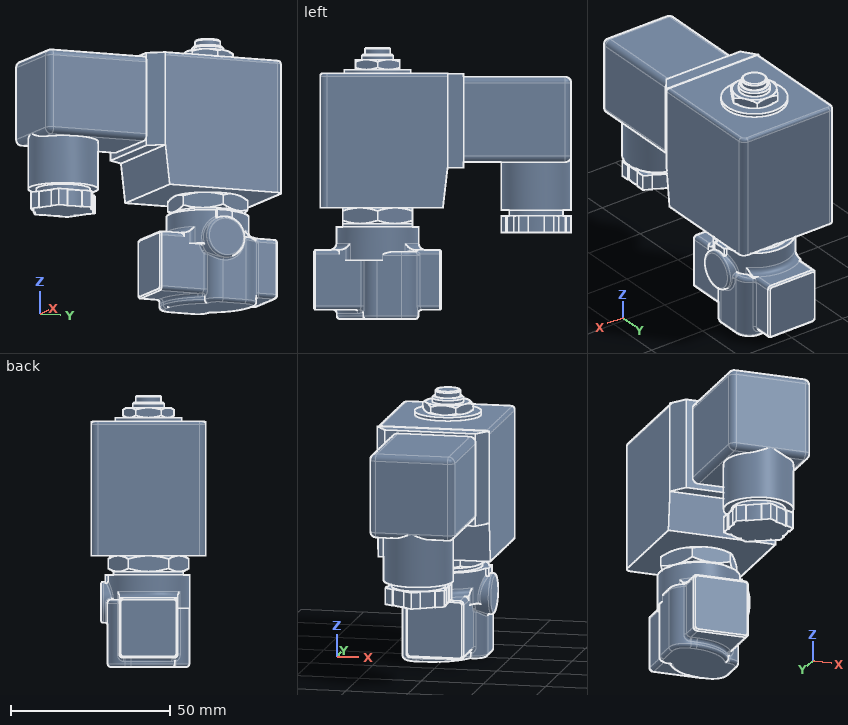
import cadquery as cq
import math


BODY_TOP = 29.0
COLLAR_BOTTOM = 18.45
LOBE_TOP = 21.3
NECK_TOP = 30.1
COIL_BOTTOM = 35.0
COIL_TOP = 77.4
WASHER_TOP = 78.5
NUT_TOP = 81.55
STEM_STEP_TOP = 83.35
STEM_TOP = 85.4

CONTACT_TOLERANCE = 0.001

COLLAR_RADIUS = 13.0
LOBE_REACH = 12.9
LOBE_INNER_Y = 4.5
LOBE_INNER_X = 10.0
LOBE_CORNER = 5.4
LOBE_SHOULDER = 4.3
LOBE_HEEL = 15.55
LOBE_END_FILLET = 1.1
LOBE_ROOT_FILLET = 1.0
PORT_LENGTH_Y = 40.1
PORT_WIDTH = 18.45
PORT_X_RANGE = (-PORT_WIDTH / 2, PORT_WIDTH / 2)
PORT_Y_RANGE = (-PORT_LENGTH_Y / 2, PORT_LENGTH_Y / 2)
PORT_BOTTOM = 2.9
PORT_TOP = 21.8
PORT_EDGE_FILLET = 1.3
PORT_END_CHAMFER = 0.5
SADDLE_FILLET = 2.1
SIDE_BOSS_DIAMETER = 13.0
SIDE_BOSS_REACH = 14.95
SIDE_BOSS_Z = 20.4
SIDE_BOSS_FILLET = 0.7
SIDE_BOSS_ROOT_FILLET = 0.7
PAD_REACH = 13.7
PAD_WIDTH = 5.1

NECK_DIAMETER = 22.0
BODY_NUT_FLATS = 22.0
TOP_NUT_FLATS = 14.0
NUT_CHAMFER_ANGLE = 30.0
WASHER_DIAMETER = 21.0
STEM_STEP_DIAMETER = 10.0
STEM_STEP_CHAMFER = 0.6
STEM_DIAMETER = 8.0
STEM_CHAMFER = 0.4

COIL_WIDTH = 36.0
COIL_BACK_Y = 18.1
COIL_FRONT_Y = -22.0
COIL_FOOT_Y = -20.6
COIL_CORNER_FILLET = 2.05
COIL_TOP_FILLET = 1.0
PLATE_FRONT_Y = -27.1
PLATE_FRONT_WIDTH = 29.0
PLATE_TOP = 77.2
PLATE_BOTTOM = 47.6

PLUG_X = 1.2
PLUG_WIDTH = 27.1
PLUG_FRONT_Y = -60.9
PLUG_BOTTOM = 49.4
PLUG_TOP = 76.3
PLUG_FILLET = 2.0
GLAND_DIAMETER = 22.0
GLAND_Y = PLUG_FRONT_Y + GLAND_DIAMETER / 2
GLAND_BOTTOM = 34.25
GLAND_NECK_DIAMETER = 17.0
GLAND_NUT_TOP = 32.45
GLAND_NUT_BOTTOM = 27.2
GRIP_FLOOR_RADIUS = 9.4
GRIP_WIDTH = 4.95


def cylinder(diameter, bottom, top, x=0.0, y=0.0):
    """Upright cylinder between two heights."""
    return cq.Workplane("XY", origin=(x, y, bottom)).circle(diameter / 2).extrude(top - bottom)


def block(x_range, y_range, z_range):
    """Box between the given limits."""
    sizes = [high - low for low, high in (x_range, y_range, z_range)]
    corner = (x_range[0], y_range[0], z_range[0])
    return cq.Workplane("XY", origin=corner).box(*sizes, centered=False)


def hex_nut(flats, bottom, top):
    """Hexagonal nut with two corners on the X axis and both ends turned to a cone."""
    corners = flats / math.cos(math.pi / 6)
    height = top - bottom
    nut = cq.Workplane("XY", origin=(0, 0, bottom)).polygon(6, corners).extrude(height)
    cone_width = (corners - flats) / 2
    cone_height = cone_width * math.tan(math.radians(NUT_CHAMFER_ANGLE))
    envelope = cylinder(corners, bottom, top).faces("<Z or >Z").chamfer(cone_height, cone_width)
    return nut.intersect(envelope)


def body_lobe():
    """Upright lobe reaching to the -X and -Y sides of the valve body, every corner rounded."""
    lobe = block((-LOBE_REACH, LOBE_INNER_X), (-LOBE_REACH, LOBE_INNER_Y), (0, LOBE_TOP))
    lobe = lobe.edges("|Z and <X and <Y").fillet(LOBE_CORNER)
    lobe = lobe.edges("|Z and >Y").edges("<X").fillet(LOBE_SHOULDER)
    lobe = lobe.edges("|Z and >X").edges("<Y").fillet(LOBE_HEEL)
    return lobe.faces("<Z or >Z").edges().fillet(LOBE_END_FILLET)


def touches_surface(edge, part):
    """True where the middle of an edge lies on the outer surface of a part."""
    middle = cq.Vertex.makeVertex(*edge.positionAt(0.5).toTuple())
    return any(face.distance(middle) < CONTACT_TOLERANCE for face in part.faces().vals())


def blend_together(first, second, radius, above=0.0):
    """Join two parts and fillet the line where their surfaces meet, above a height only."""
    joined = first.union(second)
    roots = [
        edge
        for edge in joined.edges().vals()
        if edge.Center().z > above and touches_surface(edge, second) and touches_surface(edge, first)
    ]
    return joined.newObject(roots).fillet(radius)


def collar_with_saddles():
    """Round collar flaring out into the square upper corners of both port arms."""
    collar = cylinder(2 * COLLAR_RADIUS, COLLAR_BOTTOM, BODY_TOP)
    arms = block(PORT_X_RANGE, PORT_Y_RANGE, (COLLAR_BOTTOM, PORT_TOP))
    saddles = blend_together(collar, arms, SADDLE_FILLET, COLLAR_BOTTOM + CONTACT_TOLERANCE)
    saddle_edge = cylinder(2 * (COLLAR_RADIUS + SADDLE_FILLET), COLLAR_BOTTOM, BODY_TOP)
    return saddles.intersect(saddle_edge)


def lobes_with_ports():
    """Two opposite lobes crossed by the straight-through port block."""
    ports = block(PORT_X_RANGE, PORT_Y_RANGE, (PORT_BOTTOM, PORT_TOP))
    ports = ports.edges("|Y").fillet(PORT_EDGE_FILLET)
    ports = ports.faces("<Y or >Y").chamfer(PORT_END_CHAMFER)

    lobe = body_lobe()
    lobes = lobe.union(lobe.rotate((0, 0, 0), (0, 0, 1), 180))
    return blend_together(lobes, ports, LOBE_ROOT_FILLET)


def valve_body():
    """Collar, lobes and ports with a round boss and a small pad on the +X side."""
    body = collar_with_saddles().union(lobes_with_ports())

    boss = cq.Workplane("YZ", origin=(0, 0, SIDE_BOSS_Z)).circle(SIDE_BOSS_DIAMETER / 2)
    boss = boss.extrude(SIDE_BOSS_REACH).faces(">X").edges().fillet(SIDE_BOSS_FILLET)
    body = blend_together(body, boss, SIDE_BOSS_ROOT_FILLET)

    pad = block((0, PAD_REACH), (-PAD_WIDTH / 2, PAD_WIDTH / 2), (SIDE_BOSS_Z, BODY_TOP))
    return body.union(pad)


def coil_housing():
    """Box whose -Y face leans back below the tapered plate that carries the plug."""
    half_width = COIL_WIDTH / 2
    profile = [
        (COIL_BACK_Y, COIL_BOTTOM),
        (COIL_BACK_Y, COIL_TOP),
        (COIL_FRONT_Y, COIL_TOP),
        (COIL_FRONT_Y, PLATE_BOTTOM),
        (COIL_FOOT_Y, COIL_BOTTOM),
    ]
    housing = cq.Workplane("YZ").polyline(profile).close().extrude(half_width, both=True)
    housing = housing.edges("|Z and >Y").fillet(COIL_CORNER_FILLET)
    housing = housing.faces(">Z").edges("not <Y").fillet(COIL_TOP_FILLET)

    plate_outline = [
        (-half_width, COIL_FRONT_Y),
        (-PLATE_FRONT_WIDTH / 2, PLATE_FRONT_Y),
        (PLATE_FRONT_WIDTH / 2, PLATE_FRONT_Y),
        (half_width, COIL_FRONT_Y),
    ]
    plate = cq.Workplane("XY", origin=(0, 0, PLATE_BOTTOM)).polyline(plate_outline).close()
    return housing.union(plate.extrude(PLATE_TOP - PLATE_BOTTOM))


def plug_connector():
    """Rounded plug housing on the tapered plate."""
    x_range = (PLUG_X - PLUG_WIDTH / 2, PLUG_X + PLUG_WIDTH / 2)
    plug = block(x_range, (PLUG_FRONT_Y, PLATE_FRONT_Y), (PLUG_BOTTOM, PLUG_TOP))
    return plug.edges("|Y or <Y").fillet(PLUG_FILLET)


def gland_nut():
    """Hexagonal gland nut with a shallow grip groove in each side."""
    height = GLAND_NUT_TOP - GLAND_NUT_BOTTOM
    base = cq.Workplane("XY", origin=(0, 0, GLAND_NUT_BOTTOM))
    nut = base.polygon(6, GLAND_DIAMETER).extrude(height).rotate((0, 0, 0), (0, 0, 1), 90)
    core = base.circle(GRIP_FLOOR_RADIUS).extrude(height)
    slots = base.polarArray(GLAND_DIAMETER / 2, 0, 360, 6).rect(GLAND_DIAMETER, GRIP_WIDTH)
    grooves = slots.extrude(height).cut(core)
    return nut.cut(grooves).translate((PLUG_X, GLAND_Y, 0))


def cable_gland():
    """Round gland under the plug, ending in its nut."""
    sleeve = cylinder(GLAND_DIAMETER, GLAND_BOTTOM, PLUG_BOTTOM + PLUG_FILLET, PLUG_X, GLAND_Y)
    neck = cylinder(GLAND_NECK_DIAMETER, GLAND_NUT_TOP, GLAND_BOTTOM, PLUG_X, GLAND_Y)
    return sleeve.union(neck).union(gland_nut())


def stem_end():
    """Washer, nut and stepped stem end above the coil."""
    washer = cylinder(WASHER_DIAMETER, COIL_TOP, WASHER_TOP)
    nut = hex_nut(TOP_NUT_FLATS, WASHER_TOP, NUT_TOP)
    step = cylinder(STEM_STEP_DIAMETER, NUT_TOP, STEM_STEP_TOP).faces(">Z").chamfer(STEM_STEP_CHAMFER)
    tip = cylinder(STEM_DIAMETER, STEM_STEP_TOP, STEM_TOP).faces(">Z").chamfer(STEM_CHAMFER)
    return washer.union(nut).union(step).union(tip)


def body_neck():
    """Round neck and large nut between the valve body and the coil."""
    neck = cylinder(NECK_DIAMETER, BODY_TOP, NECK_TOP)
    return neck.union(hex_nut(BODY_NUT_FLATS, NECK_TOP, COIL_BOTTOM))


result = valve_body()
for piece in (body_neck(), coil_housing(), plug_connector(), cable_gland(), stem_end()):
    result = result.union(piece)